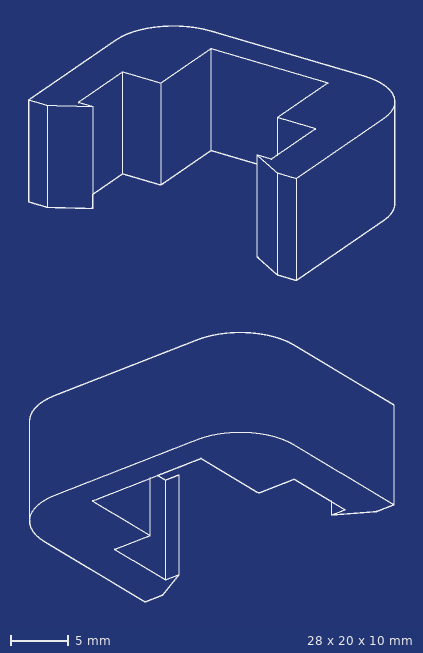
import cadquery as cq

width = 28.0
depth = 20.0
height = 10.0
corner_radius = 6.0

back_wall = 2.88
inner_slot_width = 12.2
outer_slot_width = 20.2
outer_slot_depth = 9.07

hook_depth = 2.0
hook_gap = 17.15
arm_tip_width = 2.0

inner_slot_end = depth - back_wall


def clip_body():
    """Solid block with the two back corners rounded."""
    block = cq.Workplane("XY").box(width, depth, height, centered=(True, False, False))
    return block.edges("|Z and >Y").fillet(corner_radius)


def stepped_opening():
    """Two-width slot whose mouth narrows to the hook points and flares outward."""
    right_side = [
        (width / 2 - arm_tip_width, 0),
        (hook_gap / 2, hook_depth),
        (outer_slot_width / 2, hook_depth),
        (outer_slot_width / 2, outer_slot_depth),
        (inner_slot_width / 2, outer_slot_depth),
        (inner_slot_width / 2, inner_slot_end),
    ]
    left_side = [(-x, y) for x, y in reversed(right_side)]
    return cq.Workplane("XY").polyline(right_side + left_side).close().extrude(height)


result = clip_body().cut(stepped_opening())